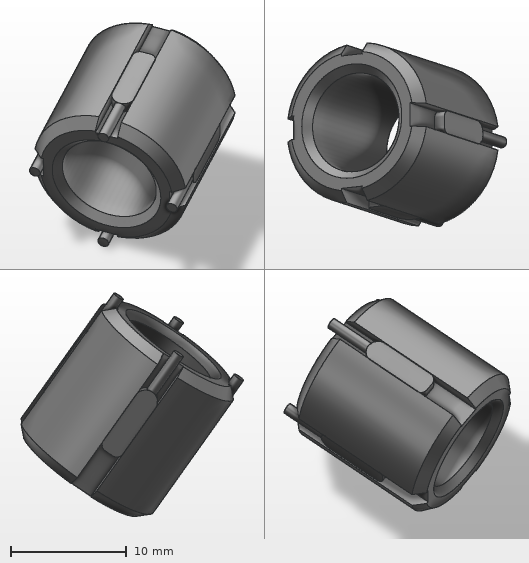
import cadquery as cq

body_length = 14.0
outer_radius = 7.0
bore_diameter = 8.65
outer_chamfer = 0.9
bore_chamfer = 0.68

slot_count = 4
slot_width = 2.05
slot_floor = 5.82

pad_length = 6.6
pad_back_gap = 4.2
pad_corner_radius = 0.65
pad_back = body_length - pad_back_gap
pad_front = pad_back - pad_length

pin_diameter = 0.98
pin_overhang = 0.8
pad_height = pin_diameter


def make_sleeve():
    """Tube with chamfers on the outer and bore edges of both ends."""
    sleeve = cq.Workplane("XZ").circle(outer_radius).extrude(-body_length)
    sleeve = sleeve.faces("<Y or >Y").chamfer(outer_chamfer)
    bore = cq.Workplane("XZ").circle(bore_diameter / 2).extrude(-body_length)
    sleeve = sleeve.cut(bore)
    bore_edges = cq.selectors.RadiusNthSelector(0)
    return sleeve.faces("<Y or >Y").edges(bore_edges).chamfer(bore_chamfer)


def make_slot():
    """Block that cuts the top slot along the whole sleeve."""
    return cq.Workplane("XY").box(
        slot_width, body_length, outer_radius, centered=(True, False, False)
    ).translate((0, 0, slot_floor))


def make_pad():
    """Pad filling the width of the top slot."""
    half_width = slot_width / 2
    return (
        cq.Workplane("XY", origin=(0, 0, slot_floor))
        .moveTo(-half_width, pad_back)
        .lineTo(-half_width, pad_front + half_width)
        .threePointArc((0, pad_front), (half_width, pad_front + half_width))
        .lineTo(half_width, pad_back)
        .close()
        .extrude(pad_height)
        .edges("|Z and >Y")
        .fillet(pad_corner_radius)
    )


def make_pin():
    """Round pin running from inside the pad to beyond the front face."""
    pin_end = pad_front + slot_width / 2
    return (
        cq.Workplane("XZ", origin=(0, pin_end, slot_floor + pin_diameter / 2))
        .circle(pin_diameter / 2)
        .extrude(pin_end + pin_overhang)
    )


def around_axis(shape, index):
    """Turn a top-slot shape to the slot with the given index."""
    return shape.rotate((0, 0, 0), (0, 1, 0), index * 360 / slot_count)


slot = make_slot()
pad_with_pin = make_pad().union(make_pin())

result = make_sleeve()
for i in range(slot_count):
    result = result.cut(around_axis(slot, i))
    result = result.union(around_axis(pad_with_pin, i))